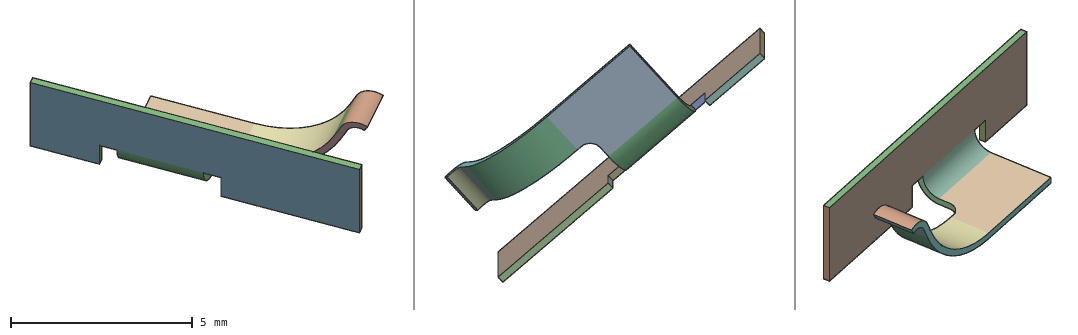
import cadquery as cq
import math


thickness = 0.2
plate_length = 9.65
plate_height = 2.55

tab_left = 2.54
tab_width = 2.54
tab_right = tab_left + tab_width
relief = 0.51
bend_inner_radius = 0.55
bend_outer_radius = bend_inner_radius + thickness
notch_height = bend_outer_radius
clip_depth = 2.74

arm_width = 1.27
arm_start = tab_right + relief
arm_front = clip_depth - arm_width
corner_radius = 0.38
rise_angle = math.radians(65)
rise_inner_radius = 3.07
straight_length = 0.49
tip_outer_radius = 0.57
tip_end_angle = math.radians(27)


def polar(center, radius, angle):
    """Point in the XZ plane at an angle leaning from +Z toward +X."""
    return (center[0] + radius * math.sin(angle), center[1] + radius * math.cos(angle))


def make_plate():
    """Upright plate with the bend notch in its bottom edge."""
    plate = cq.Workplane("XY").box(plate_length, thickness, plate_height, centered=False)
    notch = (
        cq.Workplane("XY")
        .box(tab_width + 2 * relief, thickness, notch_height, centered=False)
        .translate((tab_left - relief, 0, 0))
    )
    return plate.cut(notch)


def make_tab():
    """Quarter bend under the plate followed by a flat floor."""
    diagonal = math.sqrt(0.5)
    outer_mid = bend_outer_radius * (1 - diagonal)
    inner_mid = bend_outer_radius - bend_inner_radius * diagonal
    return (
        cq.Workplane("YZ")
        .workplane(offset=tab_left)
        .moveTo(0, bend_outer_radius)
        .threePointArc((outer_mid, outer_mid), (bend_outer_radius, 0))
        .lineTo(clip_depth, 0)
        .lineTo(clip_depth, thickness)
        .lineTo(bend_outer_radius, thickness)
        .threePointArc((inner_mid, inner_mid), (thickness, bend_outer_radius))
        .close()
        .extrude(tab_width)
    )


def make_arm_root():
    """Flat strip joining the tab to the arm, with a rounded inside corner."""
    corner_mid = corner_radius * (1 - math.sqrt(0.5))
    return (
        cq.Workplane("XY")
        .moveTo(tab_right, clip_depth)
        .lineTo(arm_start, clip_depth)
        .lineTo(arm_start, arm_front)
        .lineTo(tab_right + corner_radius, arm_front)
        .threePointArc(
            (tab_right + corner_mid, arm_front - corner_mid),
            (tab_right, arm_front - corner_radius),
        )
        .close()
        .extrude(thickness)
    )


def make_spring_arm():
    """Arm that sweeps upward, runs straight, then curls over at the tip."""
    rise_outer_radius = rise_inner_radius + thickness
    tip_inner_radius = tip_outer_radius - thickness
    rise_center = (arm_start, rise_outer_radius)
    rise_mid = math.pi - rise_angle / 2
    rise_end = math.pi - rise_angle
    tip_mid = (tip_end_angle - rise_angle) / 2

    upper_end = polar(rise_center, rise_inner_radius, rise_end)
    upper_tip_start = (
        upper_end[0] + straight_length * math.cos(rise_angle),
        upper_end[1] + straight_length * math.sin(rise_angle),
    )
    tip_center = polar(upper_tip_start, tip_outer_radius, rise_end)

    return (
        cq.Workplane("XZ", origin=(0, clip_depth, 0))
        .moveTo(arm_start, thickness)
        .threePointArc(polar(rise_center, rise_inner_radius, rise_mid), upper_end)
        .lineTo(*upper_tip_start)
        .threePointArc(
            polar(tip_center, tip_outer_radius, tip_mid),
            polar(tip_center, tip_outer_radius, tip_end_angle),
        )
        .lineTo(*polar(tip_center, tip_inner_radius, tip_end_angle))
        .threePointArc(
            polar(tip_center, tip_inner_radius, tip_mid),
            polar(tip_center, tip_inner_radius, -rise_angle),
        )
        .lineTo(*polar(rise_center, rise_outer_radius, rise_end))
        .threePointArc(polar(rise_center, rise_outer_radius, rise_mid), (arm_start, 0))
        .close()
        .extrude(arm_width)
    )


result = make_plate().union(make_tab()).union(make_arm_root()).union(make_spring_arm())